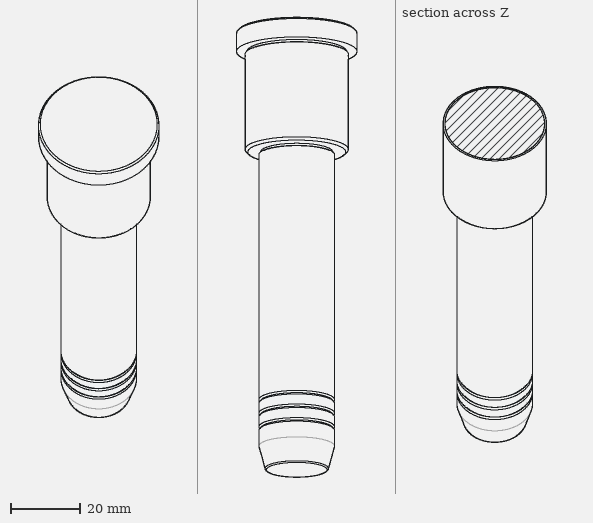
import cadquery as cq
import math

total_length = 131.0
head_radius = 35.0 / 2
shoulder_radius = 30.0 / 2
shank_radius = 22.0 / 2

head_height = 6.0
shoulder_length = 30.0
head_chamfer = 0.5
shoulder_chamfer = 0.8
head_bottom = total_length - head_height
shoulder_bottom = head_bottom - shoulder_length

head_neck_height = 0.8
shoulder_neck_height = 0.8
neck_depth = 0.5

groove_count = 3
groove_pitch = 4.0
groove_width = 1.0
groove_depth = 0.5
lowest_groove_center = 12.3

tip_length = 7.1
tip_angle = math.radians(15)
tip_edge_chamfer = 0.4


def make_body():
    """Revolve the half outline of the pin, without the necks and grooves."""
    tip_radius = shank_radius - (tip_length - tip_edge_chamfer) * math.tan(tip_angle)
    return (
        cq.Workplane("XZ")
        .moveTo(0, 0)
        .lineTo(tip_radius - tip_edge_chamfer, 0)
        .lineTo(tip_radius, tip_edge_chamfer)
        .lineTo(shank_radius, tip_length)
        .lineTo(shank_radius, shoulder_bottom)
        .lineTo(shoulder_radius - shoulder_chamfer, shoulder_bottom)
        .lineTo(shoulder_radius, shoulder_bottom + shoulder_chamfer)
        .lineTo(shoulder_radius, head_bottom)
        .lineTo(head_radius, head_bottom)
        .lineTo(head_radius, total_length - head_chamfer)
        .lineTo(head_radius - head_chamfer, total_length)
        .lineTo(0, total_length)
        .close()
        .revolve(360, (0, 0, 0), (0, 1, 0))
    )


def ring(bottom, height, outer_radius, depth):
    """Ring that cuts a square-sided groove into a cylinder of the given radius."""
    return (
        cq.Workplane("XY", origin=(0, 0, bottom))
        .circle(outer_radius)
        .circle(outer_radius - depth)
        .extrude(height)
    )


def v_ring(center_height):
    """Triangular ring that cuts one V-shaped groove into the shank."""
    return (
        cq.Workplane("XZ")
        .moveTo(shank_radius, center_height - groove_width / 2)
        .lineTo(shank_radius - groove_depth, center_height)
        .lineTo(shank_radius, center_height + groove_width / 2)
        .close()
        .revolve(360, (0, 0, 0), (0, 1, 0))
    )


result = make_body()

result = result.cut(ring(head_bottom - head_neck_height, head_neck_height, shoulder_radius, neck_depth))
result = result.cut(ring(shoulder_bottom - shoulder_neck_height, shoulder_neck_height, shank_radius, neck_depth))

for index in range(groove_count):
    result = result.cut(v_ring(lowest_groove_center + index * groove_pitch))